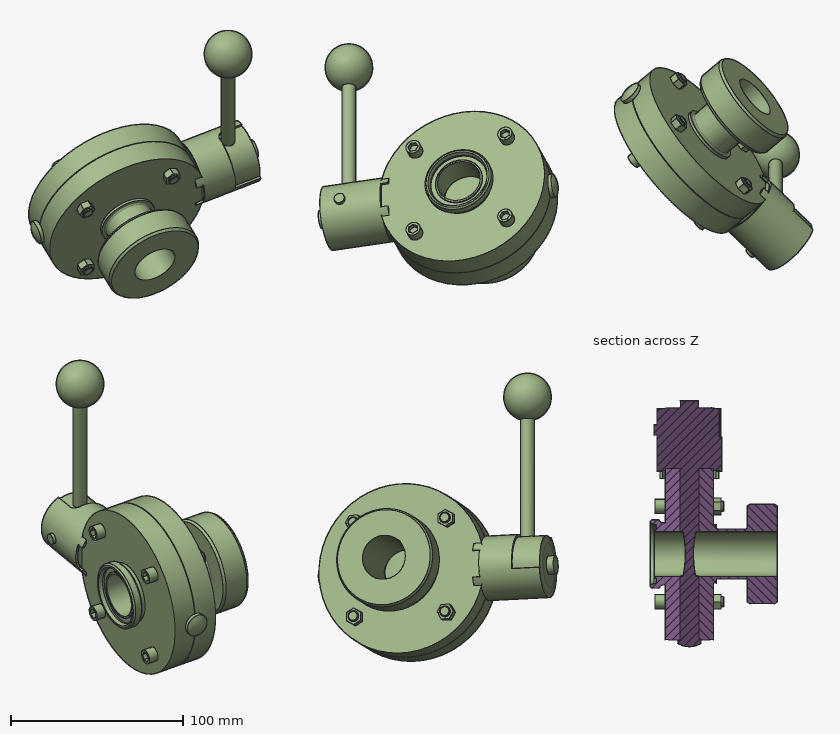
import cadquery as cq
import math


FLANGE_RADIUS = 50.0
HALF_THICKNESS = 14.0
SEAM_GAP = 0.3
FLANGE_FACE = SEAM_GAP / 2 + HALF_THICKNESS
BORE_RADIUS = 13.0

INLET_END = -22.8
FERRULE_RADIUS = 20.0
FERRULE_CHAMFER = 1.0
FERRULE_RIM_LENGTH = 5.1
FERRULE_NECK_RADIUS = 18.2
FERRULE_NECK_START = 6.5
RECESS_MOUTH_RADIUS = 17.9
RECESS_FLOOR_RADIUS = 17.0
RECESS_CONE_DEPTH = 2.3
RECESS_DEPTH = 3.5
LIP_RADIUS = 14.1
LIP_DEPTH = 2.6

COLLAR_RADIUS = 17.0
COLLAR_LENGTH = 1.6
PIPE_RADIUS = 14.6
PIPE_FILLET = 0.8
RING_START = 33.6
OUTLET_END = 51.2
RING_RADIUS = 29.0
RING_CHAMFER_LENGTH = 1.6
RING_CHAMFER_HEIGHT = 1.0

BOLT_COUNT = 4
BOLT_OFFSET = 27.7
BOLT_RADIUS = 3.1
BOLT_HEAD_RADIUS = 4.3
BOLT_HEAD_HEIGHT = 5.9
HEXAGON_SIDES = 6
SOCKET_ACROSS_FLATS = 5.2
SOCKET_DEPTH = 3.0
NUT_ACROSS_FLATS = 8.5
NUT_HEIGHT = 4.5
BOLT_END_LENGTH = 1.5
BOLT_END_CHAMFER = 0.5

STEM_RADIUS = 5.4
STEM_END = 89.2
BUTTON_RADIUS = 6.9
BUTTON_RIM = -52.0
BUTTON_CROWN = -54.0
DISC_CENTER_HALF_THICKNESS = 2.5
DISC_FACE_RADIUS = 65.6

HUB_RADIUS = 18.9
HUB_START = 48.0
HUB_END = 84.5
CLAW_END = 43.8
CLAW_INNER_HEIGHT = 7.9
CORE_RADIUS = 17.4
CORE_RECESS = 0.5
CAP_BASE_RADIUS = 16.4
CAP_TOP_RADIUS = 12.8
CAP_HEIGHT = 0.7
LEVER_TRACK_MARGIN = 4.3
LEVER_TRACK_SIDE = -6.9

LEVER_POSITION = 72.2
LEVER_RADIUS = 4.1
KNOB_RADIUS = 14.0
KNOB_HEIGHT = 100.0
PIN_RADIUS = 3.1
PIN_END = -20.7


def cylinder_x(radius, start, end):
    return cq.Workplane("YZ", origin=(start, 0, 0)).circle(radius).extrude(end - start)


def cylinder_y(radius, start, end):
    return cq.Workplane("XZ", origin=(0, start, 0)).circle(radius).extrude(start - end)


def revolve_about_x(profile):
    return profile.close().revolve(360, (0, 0, 0), (1, 0, 0))


def across_corners(across_flats):
    """Diameter of the circle through the corners of a hexagon."""
    return across_flats / math.cos(math.pi / HEXAGON_SIDES)


def bolt_directions():
    return [360 / BOLT_COUNT * index for index in range(BOLT_COUNT)]


def cut_bolt_and_stem_holes(half):
    half = half.cut(cylinder_y(STEM_RADIUS, -FLANGE_RADIUS, FLANGE_RADIUS))
    hole = cylinder_x(BOLT_RADIUS, -FLANGE_FACE, FLANGE_FACE).translate((0, -BOLT_OFFSET, BOLT_OFFSET))
    for angle in bolt_directions():
        half = half.cut(hole.rotate((0, 0, 0), (1, 0, 0), angle))
    return half


def make_inlet_half():
    outline = (
        cq.Workplane("XY")
        .moveTo(INLET_END, RECESS_MOUTH_RADIUS)
        .lineTo(INLET_END, FERRULE_RADIUS - FERRULE_CHAMFER)
        .lineTo(INLET_END + FERRULE_CHAMFER, FERRULE_RADIUS)
        .lineTo(INLET_END + FERRULE_RIM_LENGTH, FERRULE_RADIUS)
        .lineTo(INLET_END + FERRULE_NECK_START, FERRULE_NECK_RADIUS)
        .lineTo(-FLANGE_FACE, FERRULE_NECK_RADIUS)
        .lineTo(-FLANGE_FACE, FLANGE_RADIUS)
        .lineTo(-SEAM_GAP / 2, FLANGE_RADIUS)
        .lineTo(-SEAM_GAP / 2, BORE_RADIUS)
        .lineTo(INLET_END + LIP_DEPTH, BORE_RADIUS)
        .lineTo(INLET_END + LIP_DEPTH, LIP_RADIUS)
        .lineTo(INLET_END + RECESS_DEPTH, LIP_RADIUS)
        .lineTo(INLET_END + RECESS_DEPTH, RECESS_FLOOR_RADIUS)
        .lineTo(INLET_END + RECESS_CONE_DEPTH, RECESS_FLOOR_RADIUS)
    )
    return cut_bolt_and_stem_holes(revolve_about_x(outline))


def make_outlet_half():
    collar_end = FLANGE_FACE + COLLAR_LENGTH
    fillet_top = PIPE_RADIUS + PIPE_FILLET
    ring_shoulder = RING_RADIUS - RING_CHAMFER_HEIGHT
    outline = (
        cq.Workplane("XY")
        .moveTo(SEAM_GAP / 2, BORE_RADIUS)
        .lineTo(SEAM_GAP / 2, FLANGE_RADIUS)
        .lineTo(FLANGE_FACE, FLANGE_RADIUS)
        .lineTo(FLANGE_FACE, COLLAR_RADIUS)
        .lineTo(collar_end, COLLAR_RADIUS)
        .lineTo(collar_end, fillet_top)
        .radiusArc((collar_end + PIPE_FILLET, PIPE_RADIUS), -PIPE_FILLET)
        .lineTo(RING_START - PIPE_FILLET, PIPE_RADIUS)
        .radiusArc((RING_START, fillet_top), -PIPE_FILLET)
        .lineTo(RING_START, ring_shoulder)
        .lineTo(RING_START + RING_CHAMFER_LENGTH, RING_RADIUS)
        .lineTo(OUTLET_END - RING_CHAMFER_LENGTH, RING_RADIUS)
        .lineTo(OUTLET_END, ring_shoulder)
        .lineTo(OUTLET_END, BORE_RADIUS)
    )
    return cut_bolt_and_stem_holes(revolve_about_x(outline))


def make_bolt():
    """One socket-head bolt with its nut, lying on the X axis."""
    head_top = -FLANGE_FACE - BOLT_HEAD_HEIGHT
    bolt_end = FLANGE_FACE + NUT_HEIGHT + BOLT_END_LENGTH
    shank = cylinder_x(BOLT_RADIUS, -FLANGE_FACE, bolt_end).faces(">X").chamfer(BOLT_END_CHAMFER)
    head = cylinder_x(BOLT_HEAD_RADIUS, head_top, -FLANGE_FACE)
    nut = (
        cq.Workplane("YZ", origin=(FLANGE_FACE, 0, 0))
        .polygon(HEXAGON_SIDES, across_corners(NUT_ACROSS_FLATS))
        .extrude(NUT_HEIGHT)
    )
    socket = (
        cq.Workplane("YZ", origin=(head_top, 0, 0))
        .polygon(HEXAGON_SIDES, across_corners(SOCKET_ACROSS_FLATS))
        .extrude(SOCKET_DEPTH)
        .rotate((0, 0, 0), (1, 0, 0), 90)
    )
    return shank.union(head).union(nut).cut(socket)


def make_disc():
    """Round disc closing the bore, with both faces hollowed as cylinders about the Z direction."""
    disc = cylinder_x(BORE_RADIUS, -FLANGE_FACE, FLANGE_FACE)
    hollow_center = DISC_CENTER_HALF_THICKNESS + DISC_FACE_RADIUS
    for side in (-1, 1):
        hollow = (
            cq.Workplane("XY", origin=(side * hollow_center, 0, -BORE_RADIUS))
            .circle(DISC_FACE_RADIUS)
            .extrude(2 * BORE_RADIUS)
        )
        disc = disc.cut(hollow)
    return disc


def make_stem():
    """Stem through the flanges, interrupted by the disc."""
    stem = cylinder_y(STEM_RADIUS, -FLANGE_RADIUS, STEM_END)
    return stem.cut(cylinder_x(BORE_RADIUS, -FLANGE_FACE, FLANGE_FACE))


def make_stem_button():
    """Domed button on the -Y end of the stem, seated on the round flange rim."""
    crown_height = BUTTON_RIM - BUTTON_CROWN
    crown_radius = (BUTTON_RADIUS**2 + crown_height**2) / (2 * crown_height)
    blank = cylinder_y(BUTTON_RADIUS, BUTTON_CROWN, -BORE_RADIUS)
    crown = cq.Workplane("XY").sphere(crown_radius).translate((0, BUTTON_CROWN + crown_radius, 0))
    return blank.intersect(crown).cut(cylinder_x(FLANGE_RADIUS, -FLANGE_FACE, FLANGE_FACE))


def make_hub_blank():
    """Hub sleeve saddled on the flange rim, with claws that grip both flange faces."""
    hub = cylinder_y(HUB_RADIUS, CLAW_END, HUB_END)
    claw_length = HUB_START - CLAW_END
    claw_middle = (HUB_START + CLAW_END) / 2
    between_claws = cq.Workplane("XY", origin=(0, claw_middle, 0)).box(
        2 * HUB_RADIUS, claw_length, 2 * CLAW_INNER_HEIGHT
    )
    over_flanges = cq.Workplane("XY", origin=(0, claw_middle, 0)).box(
        2 * FLANGE_FACE, claw_length, 2 * HUB_RADIUS
    )
    seat = cylinder_x(FLANGE_RADIUS, -FLANGE_FACE, FLANGE_FACE)
    inside_claws = cylinder_y(CORE_RADIUS, CLAW_END, HUB_START + CORE_RECESS)
    return hub.cut(between_claws).cut(over_flanges).cut(inside_claws).cut(seat)


def make_lever_track():
    """Shallow cutaway down to the hub core in which the lever swings from +Z to +X, open at the hub end."""
    start = LEVER_POSITION - LEVER_TRACK_MARGIN
    track = cq.Workplane("XY", origin=(LEVER_TRACK_SIDE, start, -LEVER_TRACK_MARGIN)).box(
        HUB_RADIUS - LEVER_TRACK_SIDE,
        HUB_END - start,
        HUB_RADIUS + LEVER_TRACK_MARGIN,
        centered=False,
    )
    track = track.edges("|Z and <X and <Y").fillet(LEVER_TRACK_MARGIN)
    return track.cut(cylinder_y(CORE_RADIUS, start, HUB_END))


def make_hub_cap():
    outline = (
        cq.Workplane("XY")
        .moveTo(0, HUB_END)
        .lineTo(CAP_BASE_RADIUS, HUB_END)
        .lineTo(CAP_TOP_RADIUS, HUB_END + CAP_HEIGHT)
        .lineTo(0, HUB_END + CAP_HEIGHT)
    )
    return outline.close().revolve(360, (0, 0, 0), (0, 1, 0))


def make_lever():
    rod = cq.Workplane("XY", origin=(0, LEVER_POSITION, 0)).circle(LEVER_RADIUS).extrude(KNOB_HEIGHT)
    knob = cq.Workplane("XY").sphere(KNOB_RADIUS).translate((0, LEVER_POSITION, KNOB_HEIGHT))
    return rod.union(knob)


def make_actuator():
    """Disc, stem, hub, lever and stop pin, which form one operating piece."""
    stop_pin = cylinder_x(PIN_RADIUS, PIN_END, 0).translate((0, LEVER_POSITION, 0))
    actuator = make_hub_blank().cut(make_lever_track())
    for piece in (make_hub_cap(), make_lever(), stop_pin, make_stem(), make_stem_button(), make_disc()):
        actuator = actuator.union(piece)
    return actuator


inlet_half = make_inlet_half()
outlet_half = make_outlet_half()
actuator = make_actuator()
first_bolt = make_bolt().translate((0, -BOLT_OFFSET, BOLT_OFFSET))
bolts = [first_bolt.rotate((0, 0, 0), (1, 0, 0), angle).val() for angle in bolt_directions()]

result = cq.Compound.makeCompound([inlet_half.val(), outlet_half.val(), actuator.val(), *bolts])